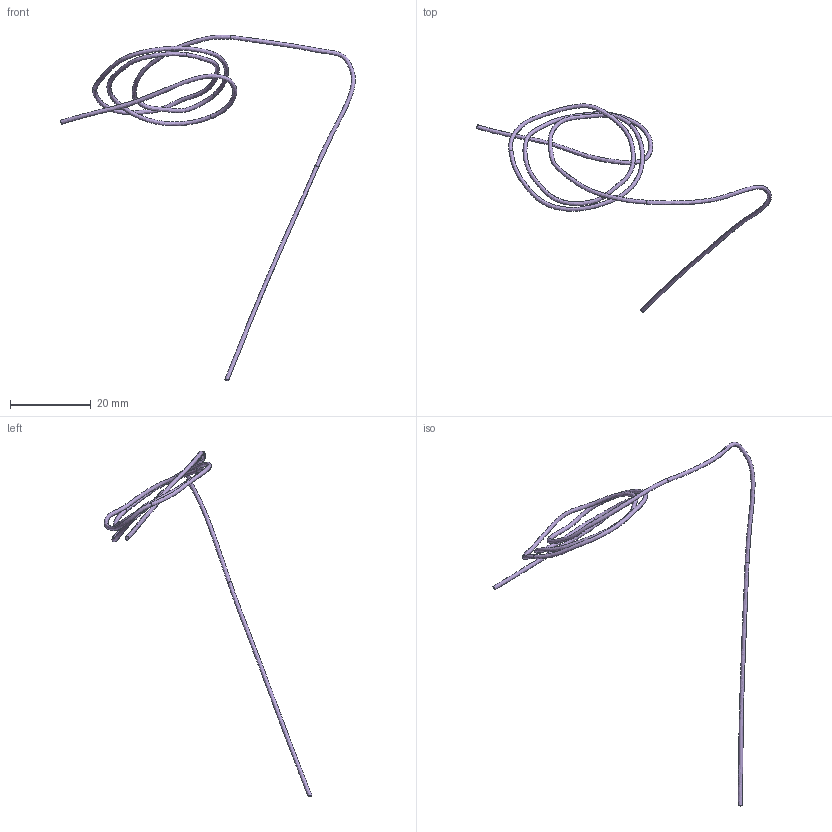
import cadquery as cq


wire_diameter = 1.0

sweep_lengths = 7


tail = [
    (-40.9, 45.3, 63.8),
    (-33.0, 43.3, 66.0),
    (-22.9, 41.1, 68.7),
    (-13.6, 38.0, 72.4),
    (-6.3, 36.6, 74.9),
    (-2.7, 36.4, 75.2),
]

first_turn = [
    (0.2, 37.1, 74.4),
    (1.9, 39.5, 72.1),
    (1.8, 41.8, 70.3),
    (0.5, 44.3, 68.0),
    (-2.3, 46.5, 65.9),
    (-6.8, 48.1, 64.2),
    (-11.8, 48.5, 63.4),
    (-16.3, 48.0, 63.6),
    (-20.8, 47.1, 64.8),
    (-25.3, 45.1, 67.2),
    (-28.3, 42.9, 70.0),
    (-29.1, 40.4, 71.9),
]

second_turn = [
    (-29.0, 37.5, 73.4),
    (-28.0, 34.3, 75.1),
    (-25.6, 30.9, 77.2),
    (-22.6, 28.0, 79.1),
    (-19.0, 26.5, 80.1),
    (-15.4, 26.3, 80.6),
    (-10.9, 27.3, 80.6),
    (-6.8, 30.2, 79.8),
    (-3.8, 32.9, 78.8),
    (-2.5, 35.9, 77.7),
    (-2.4, 38.8, 76.2),
    (-3.2, 42.4, 73.9),
    (-5.0, 45.2, 71.9),
    (-8.1, 47.9, 70.3),
    (-10.9, 49.6, 69.4),
    (-13.6, 50.4, 68.1),
    (-16.7, 50.3, 66.9),
    (-20.8, 49.4, 66.3),
    (-24.9, 48.1, 66.2),
    (-29.0, 46.3, 67.2),
    (-31.4, 44.0, 68.9),
    (-32.6, 41.5, 71.0),
]

third_turn = [
    (-32.5, 38.4, 72.5),
    (-31.1, 34.1, 74.6),
    (-28.5, 30.2, 77.4),
    (-24.9, 26.8, 79.8),
    (-20.4, 25.1, 81.2),
    (-15.8, 24.9, 81.9),
    (-10.9, 25.9, 82.1),
    (-5.9, 27.9, 81.4),
    (-2.5, 30.7, 80.3),
    (-0.5, 34.5, 78.2),
    (-0.1, 38.4, 76.0),
    (-0.9, 42.4, 73.2),
    (-3.4, 46.1, 70.3),
    (-6.8, 47.9, 68.1),
    (-10.9, 48.1, 66.7),
    (-15.4, 47.7, 66.9),
    (-19.2, 47.0, 67.4),
    (-21.7, 45.2, 68.6),
    (-22.8, 42.9, 70.0),
    (-22.8, 39.7, 72.1),
]

coil_exit = [
    (-22.2, 36.8, 74.2),
    (-20.4, 34.5, 76.8),
    (-17.2, 32.0, 79.3),
    (-13.1, 29.6, 81.8),
    (-8.6, 28.1, 83.5),
    (-4.5, 27.2, 84.6),
    (0.9, 26.6, 84.8),
    (7.2, 26.4, 84.0),
    (13.6, 26.7, 83.1),
    (19.0, 27.6, 82.2),
    (23.5, 29.0, 81.4),
]

bend = [
    (26.7, 30.0, 80.9),
    (29.0, 30.3, 79.9),
    (30.5, 29.7, 77.7),
    (31.3, 28.3, 75.0),
    (31.0, 26.8, 71.9),
    (29.6, 25.2, 68.0),
]

lead = [
    (25.6, 22.4, 60.1),
    (20.7, 18.6, 49.1),
    (16.8, 15.3, 40.4),
    (8.4, 8.0, 20.9),
    (0.0, 0.0, 0.0),
]


def centreline(*stretches):
    """One smooth curve through all the guide points of the stretches."""
    points = [cq.Vector(*point) for stretch in stretches for point in stretch]
    return cq.Edge.makeSpline(points)


def in_equal_lengths(curve, count):
    """The same curve as a wire of `count` consecutive edges of equal length."""
    breaks = [curve.paramAt(i / count) for i in range(count + 1)]
    edges = [curve.trim(start, end) for start, end in zip(breaks, breaks[1:])]
    return cq.Wire.assembleEdges(edges)


def round_wire(curve, diameter):
    """Solid of circular section swept along the curve, cut square at both ends."""
    end_plane = cq.Plane(origin=curve.startPoint(), normal=curve.tangentAt(0))
    path = cq.Workplane(obj=in_equal_lengths(curve, sweep_lengths))
    return cq.Workplane(end_plane).circle(diameter / 2).sweep(path)


wire_path = centreline(
    tail, first_turn, second_turn, third_turn, coil_exit, bend, lead
)
result = round_wire(wire_path, wire_diameter)